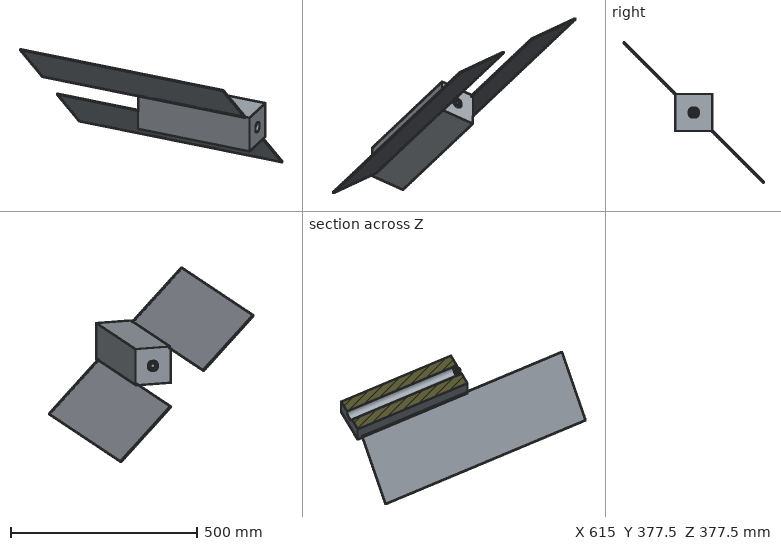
import cadquery as cq
import math

total_length = 615.0
housing_length = 330.0
housing_width = 100.0
housing_face = total_length - housing_length

plate_length = 600.0
plate_thickness = 2.8
plate_span = 377.5
plate_inner_offset = 46.0
plate_tilts = (-45, 135)

bore_diameter = 27.5
ring_inner_diameter = 24.0
ring_recess = 5.0
ring_length = 7.5
hub_diameter = 15.0
hub_back_depth = 6.0
dome_radius = 11.0
dome_projection = 2.5
spoke_diameter = 5.5
spoke_depth = 3.5
spoke_tilts = (0, 90)


def make_plate(tilt):
    """Flat sheet lying along X and reaching outward from the axis at the given tilt."""
    corner_offset = plate_thickness / 2 * math.sin(math.radians(45))
    inner_edge = plate_inner_offset * math.sqrt(2)
    outer_edge = (plate_span / 2 - corner_offset) * math.sqrt(2)
    sheet = cq.Workplane("XY").box(
        plate_length, outer_edge - inner_edge, plate_thickness, centered=(False, False, True)
    )
    return sheet.translate((0, inner_edge, 0)).rotate((0, 0, 0), (1, 0, 0), tilt)


def face_workplane(depth):
    """Plane across the axis, at a depth behind the front face of the housing."""
    return cq.Workplane("YZ", origin=(housing_face + depth, 0, 0))


def make_housing(plates):
    """Bar with a through bore and a slot for each plate."""
    housing = face_workplane(0).rect(housing_width, housing_width).extrude(housing_length)
    housing = housing.cut(face_workplane(0).circle(bore_diameter / 2).extrude(housing_length))
    for plate in plates:
        housing = housing.cut(plate)
    return housing


def make_hub():
    """Short cylinder with a spherical front that stands out of the housing."""
    hub_radius = hub_diameter / 2
    half_angle = math.asin(hub_radius / dome_radius) / 2
    tip = housing_face - dome_projection
    center = tip + dome_radius
    back = housing_face + hub_back_depth
    dome_middle = (center - dome_radius * math.cos(half_angle), dome_radius * math.sin(half_angle))
    dome_edge = (center - dome_radius * math.cos(2 * half_angle), hub_radius)
    return (
        cq.Workplane("XY")
        .moveTo(tip, 0)
        .threePointArc(dome_middle, dome_edge)
        .lineTo(back, hub_radius)
        .lineTo(back, 0)
        .close()
        .revolve(360, (0, 0, 0), (1, 0, 0))
    )


def make_spoke_pair(tilt):
    """Round bar across the whole bore, forming two opposite spokes."""
    bar = cq.Workplane("XY", origin=(housing_face + spoke_depth, 0, 0)).circle(spoke_diameter / 2)
    bar = bar.extrude(bore_diameter, both=True).rotate((0, 0, 0), (1, 0, 0), tilt)
    return bar.intersect(face_workplane(0).circle(bore_diameter / 2).extrude(housing_length))


def make_nozzle():
    """Hub carried by four spokes on a ring that fits the bore."""
    nozzle = (
        face_workplane(ring_recess)
        .circle(bore_diameter / 2)
        .circle(ring_inner_diameter / 2)
        .extrude(ring_length)
        .union(make_hub())
    )
    for tilt in spoke_tilts:
        nozzle = nozzle.union(make_spoke_pair(tilt))
    return nozzle


plates = [make_plate(tilt) for tilt in plate_tilts]
housing = make_housing(plates)
nozzle = make_nozzle()

result = cq.Compound.makeCompound([housing.val(), nozzle.val(), *[plate.val() for plate in plates]])